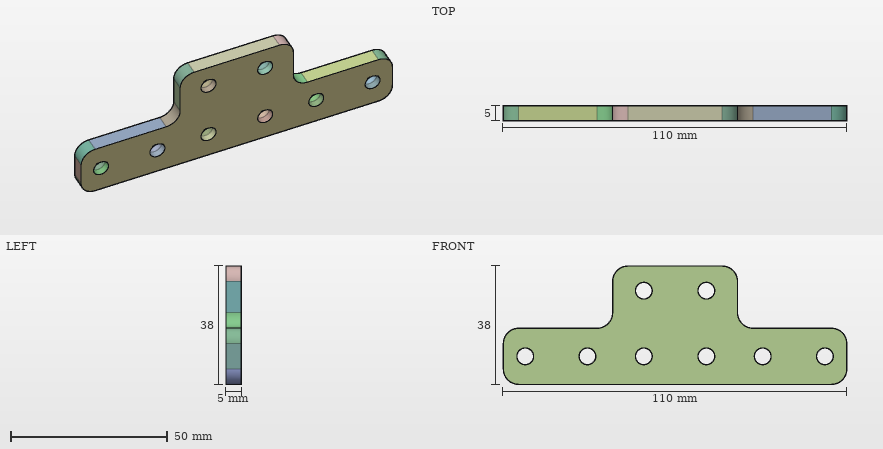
import cadquery as cq

length = 110
height = 38.0
thickness = 5.0
bar_height = 18.0
tab_width = 40.0
corner_radius = 5.0

hole_diameter = 5.3
lower_row_z = bar_height / 2
upper_row_z = 30.0
tab_hole_x = 10.0
inner_hole_x = 28.0
outer_hole_x = 48.0


def make_plate():
    """Wide bar with a centred tab, all vertices of the outline rounded."""
    bar = cq.Workplane("XY").box(length, thickness, bar_height, centered=(True, True, False))
    tab = cq.Workplane("XY").box(tab_width, thickness, height, centered=(True, True, False))
    return bar.union(tab).edges("|Y").fillet(corner_radius)


def make_holes():
    """Mirrored pairs of cylinders: three pairs in the bar, one in the tab."""
    pairs = [
        (tab_hole_x, lower_row_z),
        (inner_hole_x, lower_row_z),
        (outer_hole_x, lower_row_z),
        (tab_hole_x, upper_row_z),
    ]
    centers = [(side * x, z) for x, z in pairs for side in (-1, 1)]
    return (
        cq.Workplane("XZ")
        .pushPoints(centers)
        .circle(hole_diameter / 2)
        .extrude(thickness, both=True)
    )


result = make_plate().cut(make_holes())